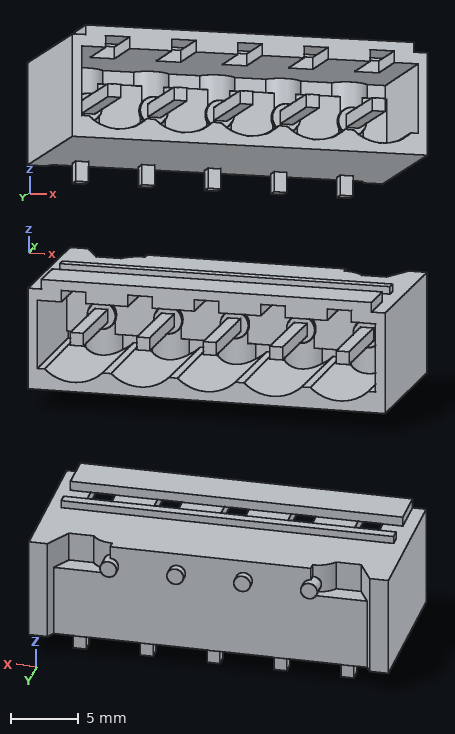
import cadquery as cq
import math

LENGTH = 27.3
DEPTH = 12.0
HEIGHT = 7.7

PIN_COUNT = 5
PITCH = 5.08
PIN_XS = [LENGTH / 2 + (i - (PIN_COUNT - 1) / 2) * PITCH for i in range(PIN_COUNT)]
PIN_SIZE = 0.98
PIN_Z = 3.8
PIN_TIP_Y = 0.93
LEG_Y = 9.96
LEG_LENGTH = 1.5

RAISED_INSET = 1.05
RAISED_LENGTH = LENGTH - 2 * RAISED_INSET
LID_DEPTH = 3.1
LID_HEIGHT = 0.75
RIB_Y = 5.27
RIB_DEPTH = 0.76
RIB_HEIGHT = 0.57

SIDE_WALL = 0.75
CAVITY_LENGTH = LENGTH - 2 * SIDE_WALL
CAVITY_DEPTH = 8.74
FLOOR_Z = 1.6
CEILING_Z = 6.82
DRAFT = 0.05
SCOOP_RADIUS = 3.22
SCOOP_BOTTOM_Z = 0.75

SLOT_WIDTH = 1.85
SLOT_DEPTH = 4.12

UPPER_COLUMN_RADIUS = 1.72
LOWER_COLUMN_RADIUS = 1.77
COLUMN_AXIS_SETBACK = 1.06
BLOCK_BOTTOM_Z = 2.32
BLOCK_TOP_Z = 5.68
BLOCK_DEPTH = 0.45
COLLAR_RADIUS = 1.06
COLLAR_DEPTH = 0.82

REAR_WALL_Y = 11.4
EAR_WIDTH = 1.42
NOTCH_Y = 9.96
NOTCH_START_X = 2.57
NOTCH_END_X = 4.45
NOTCH_STEP_Y = 10.8

PEG_XS = [x + PITCH / 2 for x in PIN_XS[:-1]]
PEG_RADIUS = 0.63
PEG_Z = 6.12
NOTCH_FLOOR_Z = PEG_Z - PEG_RADIUS


def box(x, y, z, length, depth, height):
    """Box given by its lowest corner and its size."""
    return cq.Workplane("XY").box(length, depth, height, centered=False).translate((x, y, z))


def y_cylinder(x, z, radius, front_y, rear_y):
    """Cylinder along Y between two depths."""
    return cq.Workplane("XZ", origin=(x, front_y, z)).circle(radius).extrude(front_y - rear_y)


def mirrored_pair(shape):
    """The shape together with its mirror image about the middle of the length."""
    return shape.union(shape.mirror("YZ", (LENGTH / 2, 0, 0)))


def ear_x(y):
    """Inner side of the left ear, which slopes from the back down to the notch."""
    return EAR_WIDTH + (NOTCH_START_X - EAR_WIDTH) * (DEPTH - y) / (DEPTH - NOTCH_Y)


def make_pin(x):
    """Square contact bent through a right angle: a forward arm and a leg pointing down."""
    left = x - PIN_SIZE / 2
    arm_bottom = PIN_Z - PIN_SIZE / 2
    arm_top = PIN_Z + PIN_SIZE / 2
    leg_front = LEG_Y - PIN_SIZE / 2
    leg_rear = LEG_Y + PIN_SIZE / 2
    arm = box(left, PIN_TIP_Y, arm_bottom, PIN_SIZE, leg_rear - PIN_TIP_Y, PIN_SIZE)
    leg = box(left, leg_front, -LEG_LENGTH, PIN_SIZE, PIN_SIZE, arm_top + LEG_LENGTH)
    return arm.union(leg)


def make_block():
    """Outer block with the lid along the front edge and the rib behind it."""
    block = box(0, 0, 0, LENGTH, DEPTH, HEIGHT)
    lid = box(RAISED_INSET, 0, HEIGHT, RAISED_LENGTH, LID_DEPTH, LID_HEIGHT)
    rib = box(RAISED_INSET, RIB_Y, HEIGHT, RAISED_LENGTH, RIB_DEPTH, RIB_HEIGHT)
    return block.union(lid).union(rib)


def make_cavity():
    """Front opening: a drafted pocket with a round scoop in the floor under each pin."""
    pocket = (
        cq.Workplane("YZ", origin=(SIDE_WALL, 0, 0))
        .moveTo(0, FLOOR_Z)
        .lineTo(CAVITY_DEPTH, FLOOR_Z + DRAFT)
        .lineTo(CAVITY_DEPTH, CEILING_Z - DRAFT)
        .lineTo(0, CEILING_Z)
        .close()
        .extrude(CAVITY_LENGTH)
    )
    lower_half = box(SIDE_WALL, 0, 0, CAVITY_LENGTH, CAVITY_DEPTH, PIN_Z)
    for x in PIN_XS:
        scoop = y_cylinder(x, SCOOP_BOTTOM_Z + SCOOP_RADIUS, SCOOP_RADIUS, 0, CAVITY_DEPTH)
        pocket = pocket.union(scoop.intersect(lower_half))
    return pocket


def make_slots():
    """Coding slots that run under the lid and open upwards behind it."""
    slots = cq.Workplane("XY")
    for x in PIN_XS:
        slots = slots.add(box(x - SLOT_WIDTH / 2, 0, PIN_Z, SLOT_WIDTH, SLOT_DEPTH, HEIGHT - PIN_Z))
    return slots.combine()


def make_cavity_back():
    """Blocks, stepped part-round columns and pin collars on the rear wall of the cavity."""
    back = box(
        SIDE_WALL, CAVITY_DEPTH - BLOCK_DEPTH, BLOCK_BOTTOM_Z,
        CAVITY_LENGTH, BLOCK_DEPTH, BLOCK_TOP_Z - BLOCK_BOTTOM_Z,
    )
    column_y = CAVITY_DEPTH + COLUMN_AXIS_SETBACK
    for x in PIN_XS:
        foot = cq.Workplane("XY", origin=(x, column_y, SCOOP_BOTTOM_Z))
        lower = foot.circle(LOWER_COLUMN_RADIUS).extrude(PIN_Z - SCOOP_BOTTOM_Z)
        middle = cq.Workplane("XY", origin=(x, column_y, PIN_Z))
        upper = middle.circle(UPPER_COLUMN_RADIUS).extrude(CEILING_Z - PIN_Z)
        collar = y_cylinder(x, PIN_Z, COLLAR_RADIUS, CAVITY_DEPTH - COLLAR_DEPTH, CAVITY_DEPTH)
        back = back.union(lower).union(upper).union(collar)
    return back


def make_rear_recess():
    """Shallow full-height recess between the two side ears."""
    return (
        cq.Workplane("XY")
        .moveTo(ear_x(DEPTH), DEPTH)
        .lineTo(ear_x(REAR_WALL_Y), REAR_WALL_Y)
        .lineTo(LENGTH - ear_x(REAR_WALL_Y), REAR_WALL_Y)
        .lineTo(LENGTH - ear_x(DEPTH), DEPTH)
        .close()
        .extrude(HEIGHT)
    )


def make_corner_notches():
    """Notches in the upper rear corners, each with a rounded inner edge ending at an outer peg."""
    step_x = PEG_XS[0]
    rise = NOTCH_STEP_Y - NOTCH_Y
    run = step_x - NOTCH_END_X
    radius = (run**2 + rise**2) / (2 * rise)
    arc_mid = (
        step_x - run / 2,
        NOTCH_STEP_Y - radius + math.sqrt(radius**2 - (run / 2) ** 2),
    )
    notch = (
        cq.Workplane("XY", origin=(0, 0, NOTCH_FLOOR_Z))
        .moveTo(EAR_WIDTH, DEPTH)
        .lineTo(NOTCH_START_X, NOTCH_Y)
        .lineTo(NOTCH_END_X, NOTCH_Y)
        .threePointArc(arc_mid, (step_x, NOTCH_STEP_Y))
        .lineTo(step_x, DEPTH)
        .close()
        .extrude(HEIGHT - NOTCH_FLOOR_Z)
    )
    return mirrored_pair(notch)


def make_housing(pins):
    """Insulating body with a matching passage for every pin."""
    housing = make_block()
    housing = housing.cut(make_cavity()).cut(make_slots())
    housing = housing.union(make_cavity_back())
    housing = housing.cut(make_rear_recess()).cut(make_corner_notches())
    for x in PEG_XS:
        housing = housing.union(y_cylinder(x, PEG_Z, PEG_RADIUS, NOTCH_Y, DEPTH))
    for pin in pins:
        housing = housing.cut(pin)
    return housing


pins = [make_pin(x) for x in PIN_XS]
housing = make_housing(pins)

result = cq.Compound.makeCompound([housing.val(), *[pin.val() for pin in pins]])